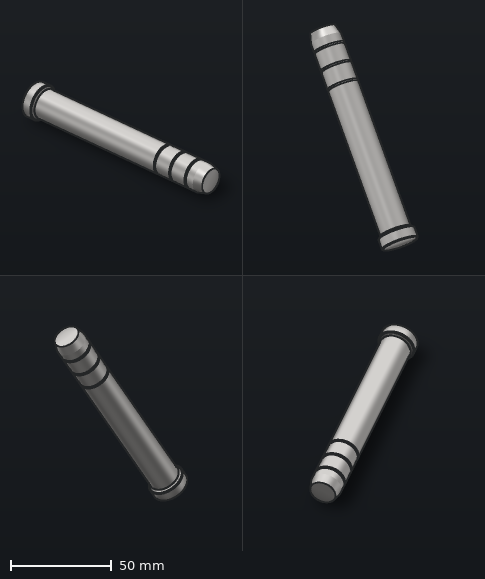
import cadquery as cq
import math

TOTAL_LENGTH = 115.0
HEAD_DIAMETER = 19.0
HEAD_LENGTH = 6.0
HEAD_CHAMFER = 0.5
SHANK_DIAMETER = 16.0
NOSE_LENGTH = 5.0
NOSE_ANGLE = 15.0
GROOVE_WIDTH = 1.0
GROOVE_PITCH = 10.0
GROOVE_COUNT = 3
LAST_GROOVE_TO_TIP = 10.0

head_radius = HEAD_DIAMETER / 2
shank_radius = SHANK_DIAMETER / 2
groove_radius = GROOVE_WIDTH / 2
nose_start = TOTAL_LENGTH - NOSE_LENGTH
nose_end_radius = shank_radius - NOSE_LENGTH * math.tan(math.radians(NOSE_ANGLE))
last_groove = TOTAL_LENGTH - LAST_GROOVE_TO_TIP
undercut = HEAD_LENGTH + groove_radius


def make_head():
    """Disc head with both rims chamfered."""
    head = cq.Workplane("YZ").circle(head_radius).extrude(HEAD_LENGTH)
    return head.edges().chamfer(HEAD_CHAMFER)


def make_shank():
    """Straight shank ending in a conical nose."""
    profile = (
        cq.Workplane("XZ")
        .lineTo(0, shank_radius)
        .lineTo(nose_start, shank_radius)
        .lineTo(TOTAL_LENGTH, nose_end_radius)
        .lineTo(TOTAL_LENGTH, 0)
        .close()
    )
    return profile.revolve(360, (0, 0, 0), (1, 0, 0))


def make_groove_cutter(center_x):
    """Ring of round section that cuts a half-round groove into the shank."""
    section = cq.Workplane("XZ").center(center_x, shank_radius).circle(groove_radius)
    return section.revolve(360, (0, -shank_radius, 0), (1, -shank_radius, 0))


shank = make_shank().cut(make_groove_cutter(undercut))
for index in range(GROOVE_COUNT):
    shank = shank.cut(make_groove_cutter(last_groove - index * GROOVE_PITCH))

result = make_head().union(shank)